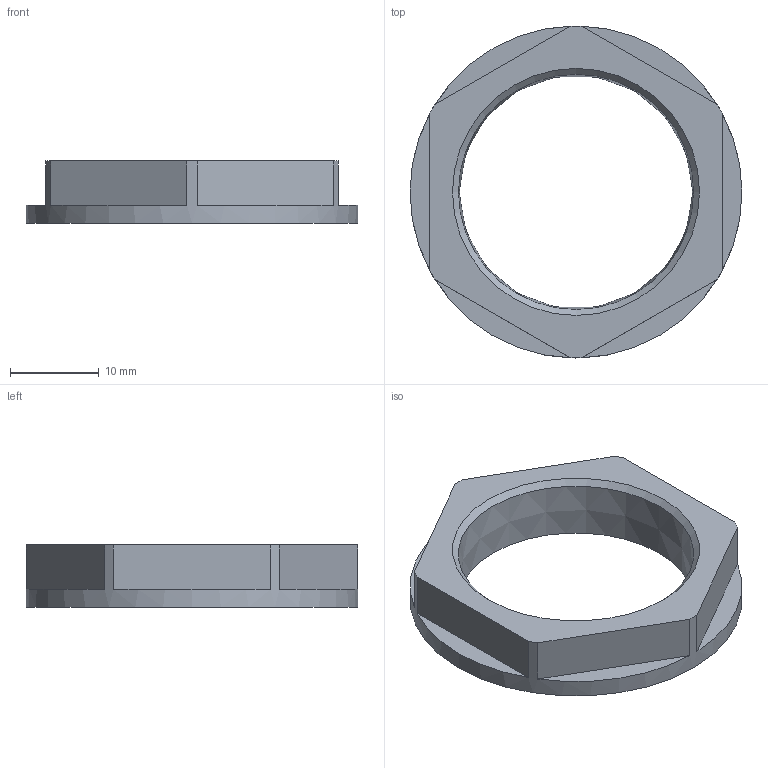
import cadquery as cq
import math

flange_diameter = 37.49
flange_thickness = 2.0
total_height = 7.01
across_flats = 33.02

bore_bottom_diameter = 26.3
bore_top_diameter = 26.6
mouth_diameter = 27.9
chamfer_depth = (mouth_diameter - bore_top_diameter) / 2

hexagon_sides = 6
side_angle = 2 * math.pi / hexagon_sides
corner_radius = across_flats / 2 / math.cos(side_angle / 2)


def make_disc(height):
    return cq.Workplane("XY").circle(flange_diameter / 2).extrude(height)


def make_hex_body():
    """Hexagonal prism whose corners are trimmed to the flange's cylinder."""
    corners = [
        (corner_radius * math.sin(side * side_angle), corner_radius * math.cos(side * side_angle))
        for side in range(hexagon_sides)
    ]
    hexagon = cq.Workplane("XY").polyline(corners).close().extrude(total_height)
    return hexagon.intersect(make_disc(total_height))


def make_bore():
    """Revolved cutter for the tapered bore and its top chamfer."""
    return (
        cq.Workplane("XZ")
        .lineTo(bore_bottom_diameter / 2, 0)
        .lineTo(bore_top_diameter / 2, total_height - chamfer_depth)
        .lineTo(mouth_diameter / 2, total_height)
        .lineTo(0, total_height)
        .close()
        .revolve(360, (0, 0, 0), (0, 1, 0))
    )


result = make_disc(flange_thickness).union(make_hex_body()).cut(make_bore())